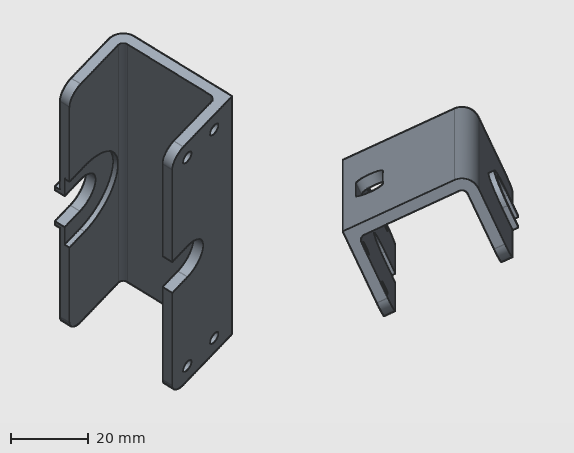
import cadquery as cq

height = 101.6
depth = 25.4
overall_width = 38.1
wall = 3.1
lip = 1.6
inner_radius = 1.6
outer_radius = inner_radius + wall
corner_radius = 4.8

left = lip
right = overall_width

notch_radius = 6.6
notch_center_y = 6.5
rim_radius = notch_radius + lip
recess_radius = 14.0
recess_depth = wall / 2

slot_width = 7.6
slot_length = 25.4
slot_x = 30.5

hole_diameter = 3.6
hole_end_inset = 6.3
hole_y_positions = (6.4, 17.8)


def box(x_min, x_max, y_min, y_max):
    """Full-height block between the given X and Y limits."""
    block = cq.Workplane("XY").box(x_max - x_min, y_max - y_min, height, centered=(False, False, True))
    return block.translate((x_min, y_min, 0))


def open_notch(radius, x_min, x_max):
    """U-shaped prism along X, round at the back and flat at the open edge Y = 0."""
    return (
        cq.Workplane("YZ", origin=(x_min, 0, 0))
        .moveTo(0, -radius)
        .lineTo(notch_center_y, -radius)
        .threePointArc((notch_center_y + radius, 0), (notch_center_y, radius))
        .lineTo(0, radius)
        .close()
        .extrude(x_max - x_min)
    )


def channel():
    """Bent channel with one sharp outside corner and rounded flange corners."""
    outside = box(left, right, 0, depth).edges("|Z and <X and >Y").fillet(outer_radius)
    inside = box(left + wall, right - wall, 0, depth - wall).edges("|Z and >Y").fillet(inner_radius)
    return outside.cut(inside).edges("|X and <Y").fillet(corner_radius)


def web_slot():
    """Obround cutter through the web and the bend fillet beside it."""
    return (
        cq.Workplane("XZ", origin=(slot_x, depth, 0))
        .slot2D(slot_length, slot_width, 90)
        .extrude(wall + inner_radius)
    )


def mounting_holes():
    """Cutters for the hole pairs near both ends of the +X flange."""
    hole_z = height / 2 - hole_end_inset
    centers = [(y, z) for y in hole_y_positions for z in (-hole_z, hole_z)]
    return (
        cq.Workplane("YZ", origin=(right - wall, 0, 0))
        .pushPoints(centers)
        .circle(hole_diameter / 2)
        .extrude(wall)
    )


inner_face = left + wall
result = (
    channel()
    .union(open_notch(rim_radius, 0, left))
    .cut(open_notch(recess_radius, inner_face - recess_depth, inner_face))
    .cut(open_notch(notch_radius, 0, right))
    .cut(web_slot())
    .cut(mounting_holes())
)